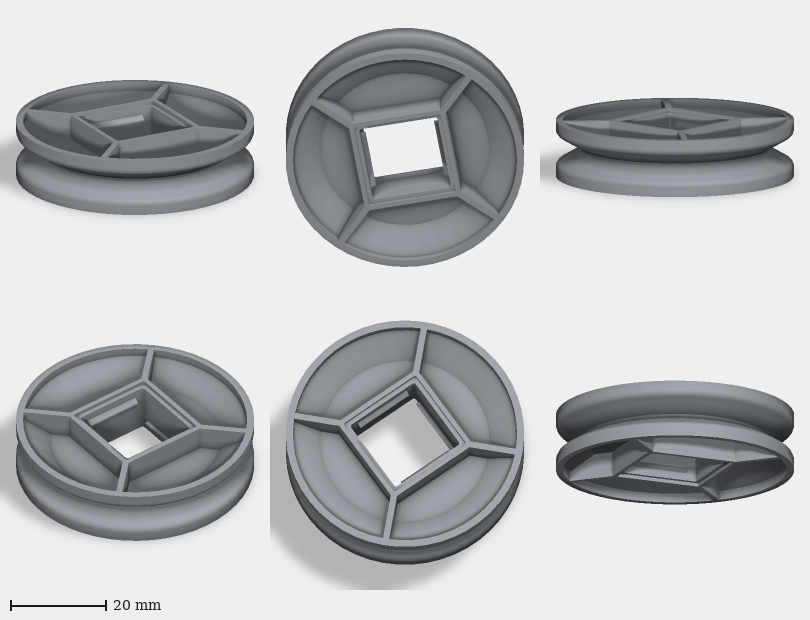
import cadquery as cq
import math

rim_radius = 25.0
half_height = 6.0
groove_radius = 19.9
groove_floor_half = 0.25
groove_angle = math.radians(30)
rim_round = 1.35

wall = 1.5
web_half = wall / 2
pocket_radius = rim_radius - wall
dish_floor_radius = 17.75
rib_width = 1.3
draft = 1.3

recess_half = 9.25
recess_depth = 0.75
hub_half = recess_half + 1.0
bore_half = 8.3
lower_bore_half = bore_half + 0.05
corner_radius = 0.5

bar_half_length = 6.25
bar_tip = 7.3
bar_root = 8.75
bar_underside = 2.4
bar_tip_height = 0.35
bar_slope_rise = 0.85
shutoff_half_width = 7.4

ledge_height = half_height - recess_depth
bore_narrowing = (ledge_height - bar_underside) * math.tan(math.radians(draft))
bore_wall_at_bar = bore_half - bore_narrowing


def wheel():
    """Solid disc with a V-groove around it and rounded rim corners."""
    rim_corner = groove_floor_half + (rim_radius - groove_radius) * math.tan(groove_angle)
    mid_angle = (math.pi / 2 - groove_angle) / 2
    tangent_length = rim_round * math.tan(mid_angle)
    arc_center_radius = rim_radius - rim_round
    band_edge = rim_corner + tangent_length
    slope_end = (
        rim_radius - tangent_length * math.cos(groove_angle),
        rim_corner - tangent_length * math.sin(groove_angle),
    )
    arc_middle = (
        arc_center_radius + rim_round * math.cos(mid_angle),
        band_edge - rim_round * math.sin(mid_angle),
    )
    upper_half = (
        cq.Workplane("XZ")
        .lineTo(groove_radius, 0)
        .lineTo(groove_radius, groove_floor_half)
        .lineTo(*slope_end)
        .threePointArc(arc_middle, (rim_radius, band_edge))
        .lineTo(rim_radius, half_height)
        .lineTo(0, half_height)
        .close()
        .revolve(360, (0, 0, 0), (0, 1, 0))
    )
    return upper_half.union(upper_half.mirror("XY"))


def tapered_block(length, width, top, bottom):
    """Block of the given size at its top that widens downward by the draft."""
    return (
        cq.Workplane("XY", origin=(0, 0, top))
        .rect(length, width)
        .extrude(bottom - top, taper=-draft)
    )


def upper_pockets():
    """Four dished pockets, left between the hub and the diagonal ribs."""
    dish_edge = web_half + (pocket_radius - dish_floor_radius) * math.tan(groove_angle)
    pockets = (
        cq.Workplane("XZ")
        .moveTo(0, web_half)
        .lineTo(dish_floor_radius, web_half)
        .lineTo(pocket_radius, dish_edge)
        .lineTo(pocket_radius, half_height)
        .lineTo(0, half_height)
        .close()
        .revolve(360, (0, 0, 0), (0, 1, 0))
    )
    pockets = pockets.cut(tapered_block(2 * hub_half, 2 * hub_half, half_height, 0))
    rib = tapered_block(2 * rim_radius, rib_width, half_height, 0)
    for angle in (45, 135):
        pockets = pockets.cut(rib.rotate((0, 0, 0), (0, 0, 1), angle))
    return pockets


def rounded_square(half_side, height):
    """Square prism with rounded corners, standing upward from the given height."""
    return (
        cq.Workplane("XY", origin=(0, 0, height))
        .rect(2 * half_side, 2 * half_side)
        .extrude(half_height)
        .edges("|Z")
        .fillet(corner_radius)
    )


def drafted_bore(half_side):
    """Square bore that narrows from the upper ledge down to the parting level of the Y walls."""
    return (
        cq.Workplane("XY", origin=(0, 0, ledge_height))
        .rect(2 * half_side, 2 * half_side)
        .extrude(-ledge_height - bar_underside, taper=draft)
        .edges("not(|X or |Y)")
        .fillet(corner_radius)
    )


def bore():
    """Two opposed drafted bores meeting at a stepped parting surface.

    The surface lies under the bars of the Y walls and rises on the X walls to meet their bars.
    """
    upper = drafted_bore(bore_half)
    lower = drafted_bore(lower_bore_half).mirror("XY")
    below_parting = (
        cq.Workplane("YZ")
        .moveTo(-rim_radius, -half_height)
        .lineTo(rim_radius, -half_height)
        .lineTo(rim_radius, -bar_underside)
        .lineTo(shutoff_half_width, -bar_underside)
        .lineTo(bar_half_length, bar_underside)
        .lineTo(-bar_half_length, bar_underside)
        .lineTo(-shutoff_half_width, -bar_underside)
        .lineTo(-rim_radius, -bar_underside)
        .close()
        .extrude(rim_radius, both=True)
    )
    return upper.union(lower.intersect(below_parting))


def snap_bar():
    """Bar on the +X bore wall with a flat underside and a sloped lead-in above."""
    slope = bar_slope_rise / (bore_wall_at_bar - bar_tip)
    tip_top = bar_underside + bar_tip_height
    return (
        cq.Workplane("XZ")
        .moveTo(bar_root, bar_underside)
        .lineTo(bar_tip, bar_underside)
        .lineTo(bar_tip, tip_top)
        .lineTo(bar_root, tip_top + slope * (bar_root - bar_tip))
        .close()
        .extrude(bar_half_length, both=True)
    )


body = wheel()

pockets = upper_pockets()
body = body.cut(pockets).cut(pockets.mirror("XY"))

body = body.cut(bore())
recess = rounded_square(recess_half, ledge_height)
body = body.cut(recess).cut(recess.mirror("XY"))

upright_bar = snap_bar()
inverted_bar = upright_bar.mirror("XY")
for angle in (0, 180):
    body = body.union(upright_bar.rotate((0, 0, 0), (0, 0, 1), angle))
    body = body.union(inverted_bar.rotate((0, 0, 0), (0, 0, 1), angle + 90))

result = body